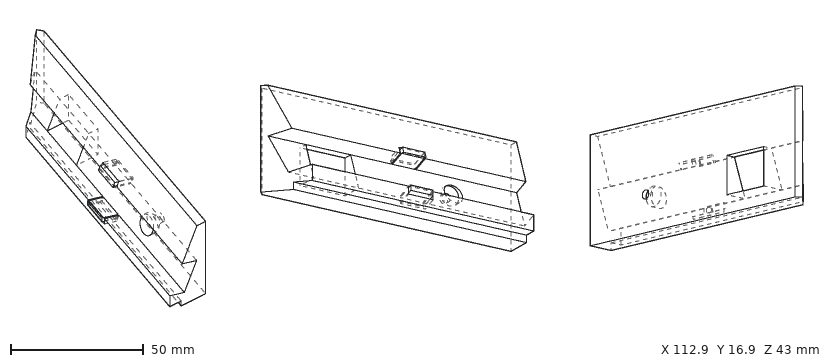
import math

import cadquery as cq

total_length = 112.92
height = 43.0
top_thickness = 3.92
lean_deg = 20.0
ledge_front = 16.15
step_depth = 11.0
step_height = 3.0
upper_face_length = 19.4
lip_depth = 6.9
floor_length = 16.2

tip_depth = 2.0

window_start = 18.9
window_length = 20.0

hole_x = 82.92
hole_diameter = 3.5
sink_diameter = 8.0
sink_cone_back = 2.0

tab_center_x = 62.5
tab_width = 10.0
tab_side_gap = 0.5
tab_thickness = 2.0
upper_hook_rise = 0.5
lower_hook_rise = 0.5
shoulder_drop = 0.3
upper_hook_root = 0.45
upper_hook_reach = 1.3
lower_hook_reach = 0.79
upper_pocket_depth = 2.75
lower_pocket_depth = 3.0
overrun = 5.0

lean = math.radians(lean_deg)


def along_floor(point, distance):
    """Move down the leaning floor; (y, z) with -Y to the front."""
    y, z = point
    return (y - distance * math.sin(lean), z - distance * math.cos(lean))


def outward(point, distance):
    """Move out of the recess, square to the leaning floor."""
    y, z = point
    return (y - distance * math.cos(lean), z + distance * math.sin(lean))


top_edge = (-top_thickness, height)
lip_edge = along_floor(top_edge, upper_face_length)
recess_top = outward(lip_edge, -lip_depth)
recess_bottom = along_floor(recess_top, floor_length)
recess_middle = along_floor(recess_top, floor_length / 2)
ledge_depth = (ledge_front + recess_bottom[0]) / math.cos(lean)
ledge_edge = outward(recess_bottom, ledge_depth)


def prism(points, x_start, length):
    return cq.Workplane("YZ").workplane(offset=x_start).polyline(points).close().extrude(length)


def make_rail():
    profile = [
        (0, 0),
        (0, height),
        top_edge,
        lip_edge,
        recess_top,
        recess_bottom,
        ledge_edge,
        (-ledge_front, step_height),
        (-step_depth, step_height),
        (-step_depth, 0),
    ]
    plan = [
        (tip_depth, 0),
        (total_length, 0),
        (total_length, -ledge_front),
        (ledge_front - tip_depth, -ledge_front),
        (0, -tip_depth),
    ]
    end_trim = cq.Workplane("XY").polyline(plan).close().extrude(height)
    return prism(profile, 0, total_length).intersect(end_trim)


def make_window():
    bottom = recess_bottom[1]
    return cq.Workplane("XY").box(
        window_length, -recess_bottom[0], recess_top[1] - bottom, centered=False
    ).translate((window_start, recess_bottom[0], bottom))


def make_screw_hole():
    hole_radius = hole_diameter / 2
    sink_radius = sink_diameter / 2
    cone_front = sink_cone_back + sink_radius - hole_radius
    section = [
        (0, 0),
        (hole_radius, 0),
        (hole_radius, -sink_cone_back),
        (sink_radius, -cone_front),
        (sink_radius, -ledge_front),
        (0, -ledge_front),
    ]
    cutter = cq.Workplane("XY").polyline(section).close().revolve(360, (0, 0, 0), (0, 1, 0))
    return cutter.translate((hole_x, 0, recess_middle[1]))


def make_pocket(root, direction, depth, reach):
    """Slot from the floor plane outward; direction is -1 into the lip, 1 into the ledge."""
    far_root = along_floor(root, direction * depth)
    points = [root, outward(root, reach), outward(far_root, reach), far_root]
    width = tab_width + 2 * tab_side_gap
    return prism(points, tab_center_x - width / 2, width)


def make_tab(points):
    return prism(points, tab_center_x - tab_width / 2, tab_width)


def make_upper_tab():
    """Plate flush with the underside of the lip, with a square hook hanging into the recess."""
    reach = lip_depth + upper_hook_reach
    far_root = along_floor(recess_top, -tab_thickness)
    hook_level = along_floor(recess_top, upper_hook_rise)
    hook_start = lip_depth + upper_hook_root
    return make_tab([
        recess_top,
        outward(recess_top, hook_start),
        outward(hook_level, hook_start),
        outward(hook_level, reach),
        outward(far_root, reach),
        far_root,
    ])


def make_lower_tab():
    """Plate flush with the top of the ledge, with a ridge along its upright front end."""
    front = ledge_front + lower_hook_reach
    peak = (-ledge_front - lower_hook_reach / 2, ledge_edge[1] + lower_hook_rise)
    shoulder = (-front, peak[1] - shoulder_drop)
    far_root = along_floor(recess_bottom, tab_thickness)
    far_front = outward(far_root, (front + far_root[0]) / math.cos(lean))
    return make_tab([recess_bottom, ledge_edge, peak, shoulder, far_front, far_root])


result = (
    make_rail()
    .cut(make_window())
    .cut(make_screw_hole())
    .cut(make_pocket(recess_top, -1, upper_pocket_depth, lip_depth + overrun))
    .cut(make_pocket(recess_bottom, 1, lower_pocket_depth, ledge_depth + overrun))
    .union(make_upper_tab())
    .union(make_lower_tab())
)